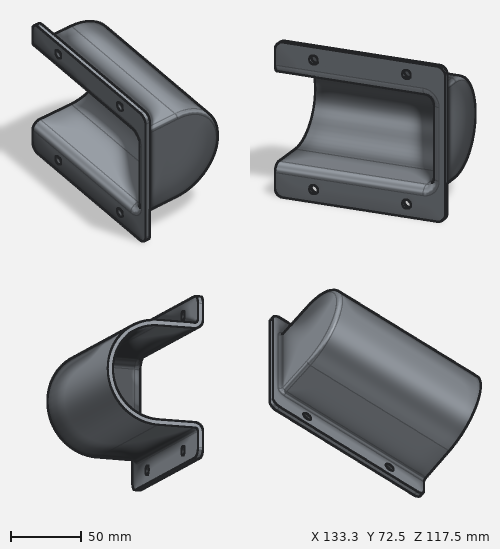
import cadquery as cq
import math

length = 133.3
flange_height = 117.5
wall = 4.0
flange_corner_radius = 6.3

depth = 72.5
outer_radius = 38.1
inner_radius = outer_radius - wall
axis_y = depth - outer_radius

end_inner_x = 122.3
end_draft = 1.0
end_inner_fillet = 6.3
end_outer_fillet = 3.0

bend_inner_radius = 2.5
bend_outer_radius = bend_inner_radius + wall

hole_diameter = 6.7
hole_inset = 30.3
hole_z = 49.0


def hood_solid(radius, end_x, end_fillet):
    """Solid U-section bar from X = 0 to a drafted end with a rounded rim."""
    bar = (
        cq.Workplane("YZ")
        .moveTo(0, -radius)
        .lineTo(axis_y, -radius)
        .threePointArc((axis_y + radius, 0), (axis_y, radius))
        .lineTo(0, radius)
        .close()
        .extrude(length)
    )
    top_x = end_x - depth * math.tan(math.radians(end_draft))
    side_outline = (
        cq.Workplane("XY")
        .polyline([(0, 0), (end_x, 0), (top_x, depth), (0, depth)])
        .close()
        .extrude(flange_height / 2, both=True)
    )
    drafted = bar.intersect(side_outline)
    rim = drafted.faces(">X").edges("not(<Y)")
    return drafted.newObject(rim.vals()).fillet(end_fillet)


def flange():
    """Flat plate with rounded corners."""
    plate = cq.Workplane("XY").box(length, wall, flange_height, centered=(False, False, True))
    return plate.edges("|Y").fillet(flange_corner_radius)


def bend_edges(body, y, half_width):
    """Edges at height y that follow the hood, excluding the flange outline and the open end."""
    margin = 0.1
    box = cq.selectors.BoxSelector(
        (margin, y - margin, -half_width - margin),
        (length - margin, y + margin, half_width + margin),
    )
    return body.edges(box)


end_outer_x = end_inner_x + wall / math.cos(math.radians(end_draft))
result = flange().union(hood_solid(outer_radius, end_outer_x, end_outer_fillet))
result = bend_edges(result, wall, outer_radius).fillet(bend_inner_radius)

result = result.cut(hood_solid(inner_radius, end_inner_x, end_inner_fillet))
result = bend_edges(result, 0, inner_radius).fillet(bend_outer_radius)

hole_centres = [(x, z) for x in (hole_inset, length - hole_inset) for z in (-hole_z, hole_z)]
holes = (
    cq.Workplane("XZ")
    .pushPoints(hole_centres)
    .circle(hole_diameter / 2)
    .extrude(-wall)
)
result = result.cut(holes)